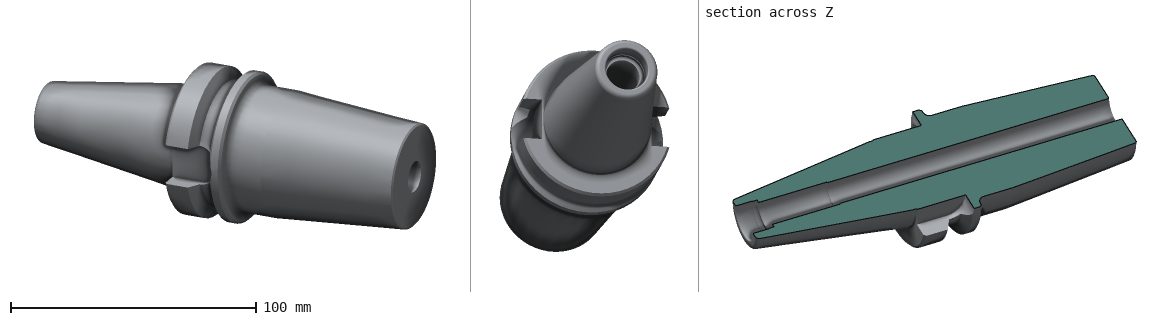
import cadquery as cq
import math

total_length = 165.4

taper_length = 65.3
gauge_radius = 44.5 / 2
taper_rate = 7 / 24 / 2
small_end_radius = gauge_radius - taper_length * taper_rate
rim_round = 2.0
neck_chamfer = 0.3

flange_start = 67.2
flange_end = 92.5
flange_radius = 63.0 / 2
flange_chamfer = 1.0
groove_center = 82.9
groove_floor_width = 4.8
groove_angle = 30.0

nose_radius = 53.0 / 2
blend_radius = 2.8
cone_start = 108.3
cone_angle = 4.5
end_chamfer = 0.7

slot_width = 17.0
slot_floor = 22.7
slot_tip = 88.7

mouth_radius = 17.5 / 2
mouth_round = 0.7
mouth_depth = 7.5
register_radius = 17.0 / 2
register_end = 9.5
thread_radius = 13.9 / 2
thread_end = 39.7
through_radius = 13.0 / 2


def make_body():
    groove_run = (flange_radius - nose_radius) * math.tan(math.radians(groove_angle))
    groove_left = groove_center - groove_floor_width / 2
    groove_right = groove_center + groove_floor_width / 2
    end_radius = nose_radius - (total_length - cone_start) * math.tan(math.radians(cone_angle))
    end_slope = end_chamfer * math.tan(math.radians(cone_angle))
    round_angle = math.atan(taper_rate)
    rim_center_radius = small_end_radius + rim_round * (taper_rate - 1 / math.cos(round_angle))
    rim_end = (
        rim_round * (1 - math.sin(round_angle)),
        rim_center_radius + rim_round * math.cos(round_angle),
    )
    mid_angle = (math.pi / 2 - round_angle) / 2
    rim_middle = (
        rim_round * (1 - math.cos(mid_angle)),
        rim_center_radius + rim_round * math.sin(mid_angle),
    )
    blend_middle = blend_radius * (1 - math.sqrt(0.5))
    return (
        cq.Workplane("XY")
        .moveTo(0, 0)
        .lineTo(0, rim_center_radius)
        .threePointArc(rim_middle, rim_end)
        .lineTo(taper_length, gauge_radius)
        .lineTo(flange_start - neck_chamfer, gauge_radius)
        .lineTo(flange_start, gauge_radius + neck_chamfer)
        .lineTo(flange_start, flange_radius - flange_chamfer)
        .lineTo(flange_start + flange_chamfer, flange_radius)
        .lineTo(groove_left - groove_run, flange_radius)
        .lineTo(groove_left, nose_radius)
        .lineTo(groove_right, nose_radius)
        .lineTo(groove_right + groove_run, flange_radius)
        .lineTo(flange_end - flange_chamfer, flange_radius)
        .lineTo(flange_end, flange_radius - flange_chamfer)
        .lineTo(flange_end, nose_radius + blend_radius)
        .threePointArc(
            (flange_end + blend_middle, nose_radius + blend_middle),
            (flange_end + blend_radius, nose_radius),
        )
        .lineTo(cone_start, nose_radius)
        .lineTo(total_length - end_chamfer, end_radius + end_slope)
        .lineTo(total_length, end_radius - end_chamfer)
        .lineTo(total_length, 0)
        .close()
        .revolve(360, (0, 0, 0), (1, 0, 0))
    )


def make_bore():
    round_middle = mouth_round * (1 - math.sqrt(0.5))
    return (
        cq.Workplane("XY")
        .moveTo(0, 0)
        .lineTo(0, mouth_radius + mouth_round)
        .threePointArc((round_middle, mouth_radius + round_middle), (mouth_round, mouth_radius))
        .lineTo(mouth_depth, mouth_radius)
        .lineTo(mouth_depth, register_radius)
        .lineTo(register_end, register_radius)
        .lineTo(register_end, thread_radius)
        .lineTo(thread_end, thread_radius)
        .lineTo(thread_end, through_radius)
        .lineTo(total_length, through_radius)
        .lineTo(total_length, 0)
        .close()
        .revolve(360, (0, 0, 0), (1, 0, 0))
    )


def make_drive_slot(side):
    half_width = slot_width / 2
    arc_center = slot_tip - half_width
    return (
        cq.Workplane("XZ", origin=(0, side * slot_floor, 0))
        .moveTo(flange_start, -half_width)
        .lineTo(arc_center, -half_width)
        .threePointArc((slot_tip, 0), (arc_center, half_width))
        .lineTo(flange_start, half_width)
        .close()
        .extrude(-side * flange_radius)
    )


result = make_body().cut(make_bore())
for side in (-1, 1):
    result = result.cut(make_drive_slot(side))